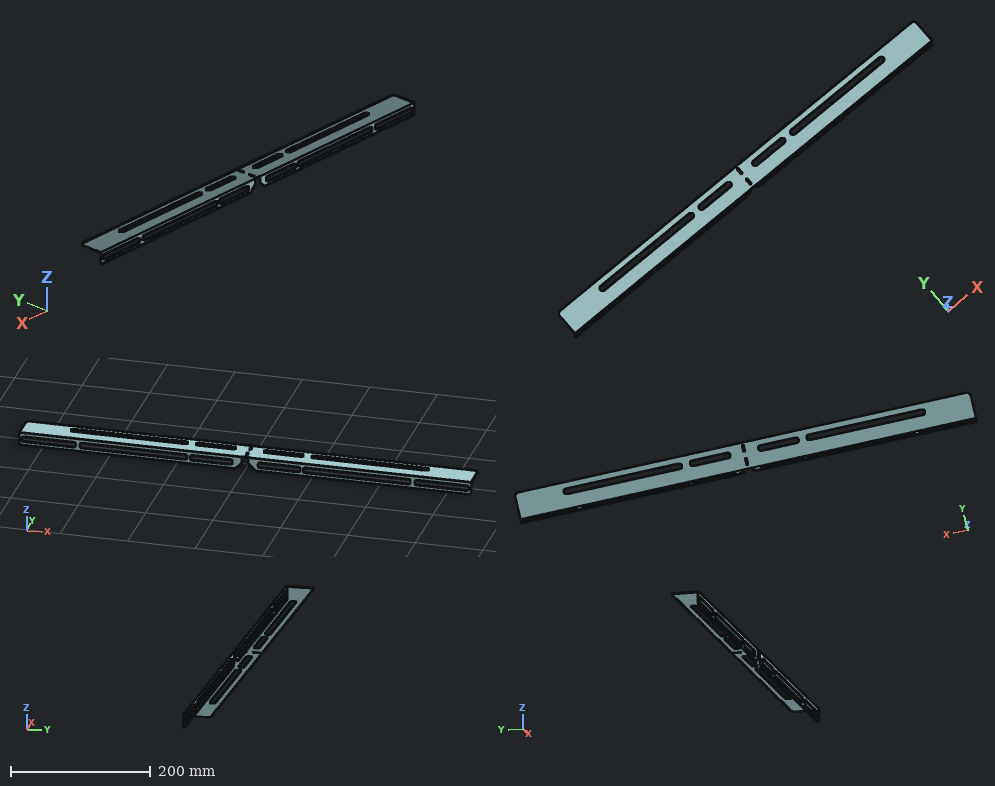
import cadquery as cq

length = 670.0
depth = 41.0
height = 20.0
thickness = 1.5

plate_corner_radius = 6.0
flange_corner_radius = 4.0
gap_width = 10.0
gap_chamfer = 9.5

slot_width = 8.0
plate_slot_spans = [(21.0, 80.0), (92.0, 265.0)]
plate_slot_y = 27.0
flange_slot_spans = [(19.0, 82.0), (86.0, 245.0), (251.0, 331.5)]
flange_slot_z = -11.0

center_slot_length = 10.0
center_slot_width = 2.0
center_slot_positions = [12.0, 32.0]


def make_plate():
    """Flat plate with its top face at Z = 0 and rounded rear corners."""
    plate = cq.Workplane("XY").box(length, depth, thickness, centered=(True, False, False))
    plate = plate.translate((0, 0, -thickness))
    return plate.edges("|Z and >Y").fillet(plate_corner_radius)


def make_flange():
    """Front flange with rounded lower outer corners."""
    flange = cq.Workplane("XY").box(length, thickness, height, centered=(True, False, False))
    flange = flange.translate((0, 0, -height))
    return flange.edges("|Y and <Z").fillet(flange_corner_radius)


def make_gap():
    """Cutter that parts the flange, flared at the bottom and notching the plate."""
    half_gap = gap_width / 2
    half_mouth = half_gap + gap_chamfer
    chamfer_top = -height + gap_chamfer
    outline = [
        (-half_gap, 0),
        (half_gap, 0),
        (half_gap, chamfer_top),
        (half_mouth, -height),
        (-half_mouth, -height),
        (-half_gap, chamfer_top),
    ]
    return cq.Workplane("XZ").polyline(outline).close().extrude(-thickness)


def cut_mirrored_slots(body, plane, spans, cross_position):
    """Cut round-ended slots through the sheet on both sides of the middle."""
    for inner, outer in spans:
        middle = (inner + outer) / 2
        centers = [(-middle, cross_position), (middle, cross_position)]
        cutter = cq.Workplane(plane).pushPoints(centers).slot2D(outer - inner, slot_width)
        body = body.cut(cutter.extrude(-thickness))
    return body


def cut_center_slots(body):
    """Cut the narrow slots that lie across the plate at the middle."""
    centers = [(0, y) for y in center_slot_positions]
    cutter = cq.Workplane("XY").pushPoints(centers)
    cutter = cutter.slot2D(center_slot_length, center_slot_width, 90)
    return body.cut(cutter.extrude(-thickness))


angle = make_plate().union(make_flange()).cut(make_gap())
angle = cut_mirrored_slots(angle, "XY", plate_slot_spans, plate_slot_y)
angle = cut_mirrored_slots(angle, "XZ", flange_slot_spans, flange_slot_z)
angle = cut_center_slots(angle)

result = angle.translate((0, -depth / 2, height / 2))